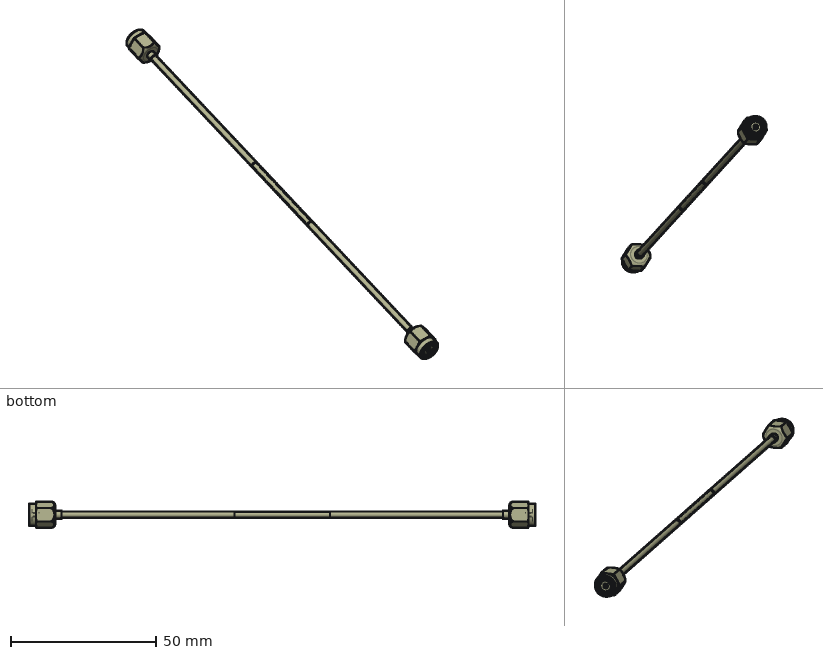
import cadquery as cq

TOTAL_LENGTH = 174.5

NUT_FLATS = 7.9
NUT_LENGTH = 9.0
BAND_DIAMETER = 7.7
BAND_LENGTH = 2.5
BAND_CHAMFER = 0.14
HEX_FRONT_CHAMFER_LENGTH = 0.2
HEX_FRONT_CHAMFER_DEPTH = 0.3
HEX_REAR_ROUND = 1.5

BORE_DIAMETER = 5.8
BORE_DEPTH = 1.0
COUNTERSINK_WIDTH = 0.44
COUNTERSINK_DEPTH = 0.3
POST_DIAMETER = 4.0
POST_SETBACK = 0.26
SOCKET_DIAMETER = 1.5
SOCKET_DEPTH = 3.5
PIN_DIAMETER = 0.9
PIN_SETBACK = 1.5

NECK_DIAMETER = 2.8
NECK_LENGTH = 2.1

CABLE_DIAMETER = 2.3
SLEEVE_LENGTH = 33.0
SLEEVE_BORE = 1.7

HEX_RADIUS = NUT_FLATS / 3**0.5
PLUG_LENGTH = NUT_LENGTH + NECK_LENGTH
CABLE_LENGTH = TOTAL_LENGTH - 2 * PLUG_LENGTH


def rod(diameter, start, end):
    """Round bar on the X axis from x = start to x = end."""
    return cq.Workplane("YZ", origin=(start, 0, 0)).circle(diameter / 2).extrude(end - start)


def make_hexagon():
    """Hexagon with corners toward +Y and -Y, its corners chamfered in front and rounded at the rear."""
    round_inset = HEX_REAR_ROUND * (1 - 0.5**0.5)
    turned_blank = (
        cq.Workplane("XY")
        .moveTo(BAND_LENGTH, 0)
        .lineTo(BAND_LENGTH, HEX_RADIUS - HEX_FRONT_CHAMFER_DEPTH)
        .lineTo(BAND_LENGTH + HEX_FRONT_CHAMFER_LENGTH, HEX_RADIUS)
        .lineTo(NUT_LENGTH - HEX_REAR_ROUND, HEX_RADIUS)
        .threePointArc(
            (NUT_LENGTH - round_inset, HEX_RADIUS - round_inset),
            (NUT_LENGTH, HEX_RADIUS - HEX_REAR_ROUND),
        )
        .lineTo(NUT_LENGTH, 0)
        .close()
        .revolve(360, (0, 0, 0), (1, 0, 0))
    )
    prism = (
        cq.Workplane("YZ", origin=(BAND_LENGTH, 0, 0))
        .polygon(6, 2 * HEX_RADIUS)
        .extrude(NUT_LENGTH - BAND_LENGTH)
    )
    return prism.intersect(turned_blank)


def make_mouth():
    """Hollow of the plug's open end: the countersunk bore and the socket, less the post and the pin."""
    bore_radius = BORE_DIAMETER / 2
    bore = (
        cq.Workplane("XY")
        .moveTo(0, 0)
        .lineTo(0, bore_radius + COUNTERSINK_WIDTH)
        .lineTo(COUNTERSINK_DEPTH, bore_radius)
        .lineTo(BORE_DEPTH, bore_radius)
        .lineTo(BORE_DEPTH, 0)
        .close()
        .revolve(360, (0, 0, 0), (1, 0, 0))
    )
    post = rod(POST_DIAMETER, POST_SETBACK, BORE_DEPTH)
    socket = rod(SOCKET_DIAMETER, POST_SETBACK, SOCKET_DEPTH)
    pin = rod(PIN_DIAMETER, PIN_SETBACK, SOCKET_DEPTH)
    return bore.cut(post).union(socket).cut(pin)


def make_plug():
    """Plug with its open end at x = 0 and its neck toward +X."""
    band = rod(BAND_DIAMETER, 0, BAND_LENGTH).faces("<X").chamfer(BAND_CHAMFER)
    neck = rod(NECK_DIAMETER, NUT_LENGTH, PLUG_LENGTH)
    return band.union(make_hexagon()).union(neck).cut(make_mouth())


def make_sleeve():
    """Tube around the middle of the cable, flush with the cable's outside."""
    tube = rod(CABLE_DIAMETER, -SLEEVE_LENGTH / 2, SLEEVE_LENGTH / 2)
    return tube.cut(rod(SLEEVE_BORE, -SLEEVE_LENGTH / 2, SLEEVE_LENGTH / 2))


def make_cable(sleeve):
    """Cable from neck to neck, recessed for the sleeve."""
    return rod(CABLE_DIAMETER, -CABLE_LENGTH / 2, CABLE_LENGTH / 2).cut(sleeve)


plugs = []
for turn in (0, 180):
    plug = make_plug().translate((-TOTAL_LENGTH / 2, 0, 0)).rotate((0, 0, 0), (0, 0, 1), turn)
    plugs.append(plug.val())

sleeve = make_sleeve()
cable = make_cable(sleeve)

result = cq.Compound.makeCompound([*plugs, cable.val(), sleeve.val()])